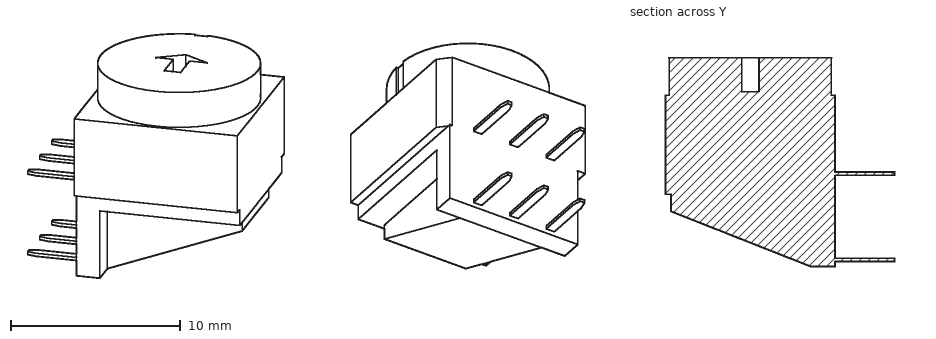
import cadquery as cq


total_height = 12.3
knob_height = 2.2
housing_top = total_height - knob_height
housing_bottom = 5.25
base_bottom = 4.25

housing_size = 10.0
housing_half = housing_size / 2
corner_chamfer = 0.7
base_width = 8.95
leg_thickness = 1.43

wedge_width = 5.7
wedge_end_inset = 0.33
wedge_end_height = 1.0

knob_diameter = 9.6
knob_notch_width = 0.75
knob_notch_depth = 0.15

arrow_tip = 1.42
arrow_shoulder = 0.49
arrow_tail = -1.44
arrow_head_half_width = 1.58
arrow_shaft_half_width = 0.5
arrow_depth = 2.0

pin_pitch = 2.54
pin_row_spacing = 2 * pin_pitch
pin_lower_row = 0.4
pin_length = 3.5
pin_width = 0.57
pin_thickness = 0.2
pin_tip_width = 0.3
pin_taper_length = 0.55
pin_embed = 0.5


def make_housing():
    """Square housing with one chamfered vertical corner at -X, +Y."""
    height = housing_top - housing_bottom
    block = cq.Workplane("XY", origin=(0, 0, housing_bottom)).rect(housing_size, housing_size)
    return block.extrude(height).edges("|Z and <X and >Y").chamfer(corner_chamfer)


def make_base():
    """L-shaped base: a plate under the housing and a leg on the pin side."""
    leg_inner = -housing_half + leg_thickness
    outline = [
        (-housing_half, 0),
        (leg_inner, 0),
        (leg_inner, base_bottom),
        (housing_half, base_bottom),
        (housing_half, housing_bottom),
        (-housing_half, housing_bottom),
    ]
    return cq.Workplane("XZ").polyline(outline).close().extrude(base_width / 2, both=True)


def make_wedge():
    """Sloping support between the leg and the underside of the base plate."""
    leg_inner = -housing_half + leg_thickness
    wedge_end = housing_half - wedge_end_inset
    outline = [
        (leg_inner, 0),
        (wedge_end, base_bottom - wedge_end_height),
        (wedge_end, base_bottom),
        (leg_inner, base_bottom),
    ]
    return cq.Workplane("XZ").polyline(outline).close().extrude(wedge_width / 2, both=True)


def make_knob():
    """Round knob with a small index notch down its +Y side."""
    knob = cq.Workplane("XY", origin=(0, 0, housing_top)).circle(knob_diameter / 2).extrude(knob_height)
    notch = (
        cq.Workplane("XY", origin=(0, knob_diameter / 2, housing_top))
        .rect(knob_notch_width, 2 * knob_notch_depth)
        .extrude(knob_height)
    )
    return knob.cut(notch)


def make_arrow_recess():
    """Arrow-shaped pocket pointing to +Y, sunk from the knob's top face."""
    outline = [
        (0, arrow_tip),
        (arrow_head_half_width, arrow_shoulder),
        (arrow_shaft_half_width, arrow_shoulder),
        (arrow_shaft_half_width, arrow_tail),
        (-arrow_shaft_half_width, arrow_tail),
        (-arrow_shaft_half_width, arrow_shoulder),
        (-arrow_head_half_width, arrow_shoulder),
    ]
    return cq.Workplane("XY", origin=(0, 0, total_height)).polyline(outline).close().extrude(-arrow_depth)


def make_pin(y_position, z_position):
    """Flat pin along -X with a tapered tip, rooted inside the leg."""
    root = -housing_half + pin_embed
    tip = -housing_half - pin_length
    taper_start = tip + pin_taper_length
    outline = [
        (root, -pin_width / 2),
        (taper_start, -pin_width / 2),
        (tip, -pin_tip_width / 2),
        (tip, pin_tip_width / 2),
        (taper_start, pin_width / 2),
        (root, pin_width / 2),
    ]
    pin = cq.Workplane("XY").polyline(outline).close().extrude(pin_thickness / 2, both=True)
    return pin.translate((0, y_position, z_position))


result = make_housing().union(make_base()).union(make_wedge()).union(make_knob())
result = result.cut(make_arrow_recess())
for pin_row in (pin_lower_row, pin_lower_row + pin_row_spacing):
    for column in (-1, 0, 1):
        result = result.union(make_pin(column * pin_pitch, pin_row))